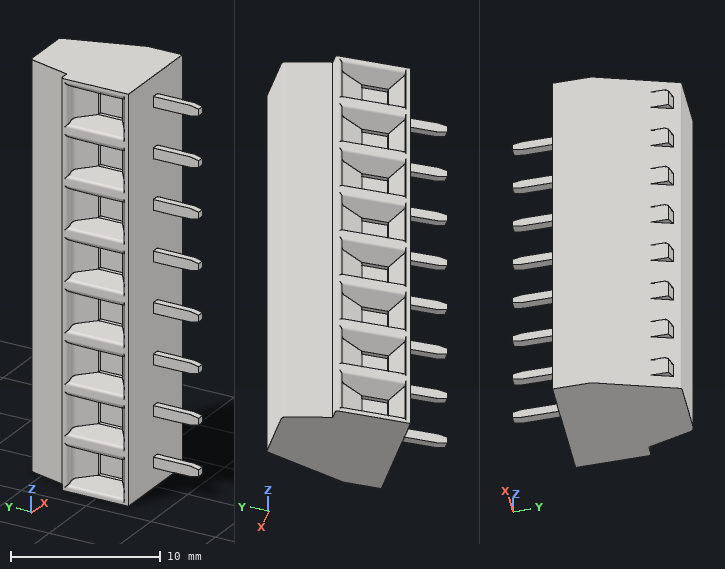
import cadquery as cq
POLES = 8
HEIGHT = 30.48
PITCH = HEIGHT / POLES

WIDTH = 7.3
DEPTH = 8.5
STEP_Y = 5.2
LEDGE = 0.75
LEDGE_RADIUS = 0.18
TOP_LEFT_X = 1.62
TOP_RIGHT_X = 5.52
TOP_LEFT_RADIUS = 0.37
TOP_RIGHT_RADIUS = 0.18
SHOULDER_Y = 2.68

MOUTH_LOW_Y = 0.35
LIP_DEPTH = 0.2
MOUTH_HIGH_Y = 4.7
RIM_RADIUS = 0.27
WELL_LOW_Y = 1.2
WELL_HIGH_Y = 3.05
WELL_HALF_HEIGHT = 0.8
FUNNEL_DEPTH = 1.25
WELL_DEPTH = 0.3
SIDE_TAPER = 0.58
SLOPE_RISE = 0.65
FLOOR_RADIUS = 0.43
MOUTH_HALF_HEIGHT = WELL_HALF_HEIGHT + SIDE_TAPER * FUNNEL_DEPTH

PIN_X = 3.63
PIN_WIDTH = 0.55
PIN_HEIGHT = 0.8
PIN_LENGTH = 3.5
PIN_ROOT = 0.3
TIP_LENGTH = 0.65
TIP_HEIGHT = 0.52

TAB_X = 6.13
TAB_BASE_X = 5.18
TAB_LOW_Y = 6.1
TAB_BEND_Y = 7.5
TAB_HIGH_Y = 7.95
TAB_HEIGHT = 1.52
TAB_LEAN = 0.37
TAB_CORNER_Y = 7.7
TAB_BEVEL_RUN = 0.43


def housing_module():
    """Plain slice of the housing, centred on Z = 0."""
    block = (
        cq.Workplane("XY")
        .workplane(offset=-PITCH / 2)
        .polyline([
            (0, 0),
            (WIDTH, 0),
            (WIDTH, SHOULDER_Y),
            (TOP_RIGHT_X, DEPTH),
            (TOP_LEFT_X, DEPTH),
            (LEDGE, STEP_Y),
            (0, STEP_Y),
        ])
        .close()
        .extrude(PITCH)
    )
    for x, y, radius in [
        (0, STEP_Y, LEDGE_RADIUS),
        (TOP_LEFT_X, DEPTH, TOP_LEFT_RADIUS),
        (TOP_RIGHT_X, DEPTH, TOP_RIGHT_RADIUS),
    ]:
        block = block.edges(cq.selectors.NearestToPointSelector((x, y, 0))).fillet(radius)
    return block


def wire_entry():
    """Cutter for the entry: a tapered funnel with a sloped upper floor and a straight well."""
    outline = (
        cq.Workplane("XY")
        .workplane(offset=-MOUTH_HALF_HEIGHT)
        .polyline([
            (0, MOUTH_LOW_Y),
            (LIP_DEPTH, MOUTH_LOW_Y),
            (FUNNEL_DEPTH, WELL_LOW_Y),
            (FUNNEL_DEPTH, WELL_HIGH_Y),
            (FUNNEL_DEPTH - SLOPE_RISE, MOUTH_HIGH_Y),
            (0, MOUTH_HIGH_Y),
        ])
        .close()
        .extrude(2 * MOUTH_HALF_HEIGHT)
    )
    floor_corner = (FUNNEL_DEPTH - SLOPE_RISE, MOUTH_HIGH_Y, 0)
    outline = outline.edges(cq.selectors.NearestToPointSelector(floor_corner)).fillet(FLOOR_RADIUS)
    taper = (
        cq.Workplane("XZ")
        .polyline([
            (0, -MOUTH_HALF_HEIGHT),
            (FUNNEL_DEPTH, -WELL_HALF_HEIGHT),
            (FUNNEL_DEPTH, WELL_HALF_HEIGHT),
            (0, MOUTH_HALF_HEIGHT),
        ])
        .close()
        .extrude(-DEPTH)
    )
    well = cq.Workplane("XY").box(
        FUNNEL_DEPTH + WELL_DEPTH,
        WELL_HIGH_Y - WELL_LOW_Y,
        2 * WELL_HALF_HEIGHT,
        centered=(False, False, True),
    ).translate((0, WELL_LOW_Y, 0))
    return outline.intersect(taper).union(well)


def round_rim(block):
    """Round the mouth on its two Z sides and its high-Y side; the low-Y side stays sharp."""
    middle_y = (MOUTH_LOW_Y + MOUTH_HIGH_Y) / 2
    rim = [(0, middle_y, MOUTH_HALF_HEIGHT), (0, middle_y, -MOUTH_HALF_HEIGHT), (0, MOUTH_HIGH_Y, 0)]
    selector = cq.selectors.NearestToPointSelector(rim[0])
    for point in rim[1:]:
        selector = selector + cq.selectors.NearestToPointSelector(point)
    return block.edges(selector).fillet(RIM_RADIUS)


def back_tab():
    """Tab whose upper part leans back towards its bevelled high end."""
    side = (
        cq.Workplane("YZ")
        .workplane(offset=TAB_BASE_X)
        .polyline([
            (TAB_LOW_Y, -TAB_HEIGHT / 2),
            (TAB_HIGH_Y, -TAB_HEIGHT / 2),
            (TAB_HIGH_Y, TAB_HEIGHT / 2 - TAB_LEAN),
            (TAB_BEND_Y, TAB_HEIGHT / 2),
            (TAB_LOW_Y, TAB_HEIGHT / 2),
        ])
        .close()
        .extrude(TAB_X - TAB_BASE_X)
    )
    outline = (
        cq.Workplane("XY")
        .workplane(offset=-TAB_HEIGHT / 2)
        .polyline([
            (TAB_BASE_X, TAB_LOW_Y),
            (TAB_X, TAB_LOW_Y),
            (TAB_X, TAB_CORNER_Y),
            (TAB_X - TAB_BEVEL_RUN, TAB_HIGH_Y),
            (TAB_BASE_X, TAB_HIGH_Y),
        ])
        .close()
        .extrude(TAB_HEIGHT)
    )
    return side.intersect(outline)


def pin():
    """Flat pin along -Y whose tip tapers in Z."""
    shoulder_y = TIP_LENGTH - PIN_LENGTH
    return (
        cq.Workplane("YZ")
        .workplane(offset=PIN_X - PIN_WIDTH / 2)
        .polyline([
            (PIN_ROOT, -PIN_HEIGHT / 2),
            (shoulder_y, -PIN_HEIGHT / 2),
            (-PIN_LENGTH, -TIP_HEIGHT / 2),
            (-PIN_LENGTH, TIP_HEIGHT / 2),
            (shoulder_y, PIN_HEIGHT / 2),
            (PIN_ROOT, PIN_HEIGHT / 2),
        ])
        .close()
        .extrude(PIN_WIDTH)
    )


module = round_rim(housing_module().cut(wire_entry())).union(back_tab()).union(pin())

result = module.translate((0, 0, PITCH / 2))
for pole in range(1, POLES):
    result = result.union(module.translate((0, 0, (pole + 0.5) * PITCH)))
result = result.clean()